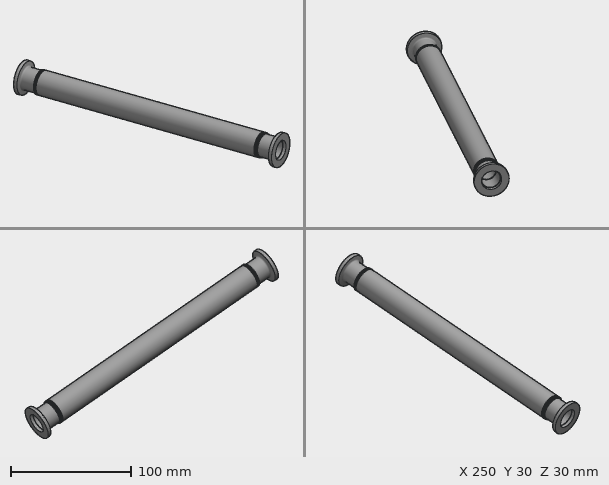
import cadquery as cq

length = 250.0
half_length = length / 2

flange_radius = 15.0
rim_width = 2.0
rim_chamfer_width = 1.2
rim_chamfer_drop = 0.2
cone_end = 4.0
cone_fillet = 1.2

neck_radius = 10.0
sleeve_radius = 11.0

band_start = 17.0
foot_bevel = 0.5
groove_depth = 0.12
groove_width = 0.8
groove_land = 0.5
groove_count = 2

socket_radius = 8.5
socket_depth = 3.0
neck_bore_radius = 8.0
sleeve_bore_radius = 7.5


def groove_points(start):
    """Outline corners of one fine groove beginning at the given X."""
    end = start + groove_width
    floor_radius = sleeve_radius - groove_depth
    return [
        (start, sleeve_radius),
        (start, floor_radius),
        (end, floor_radius),
        (end, sleeve_radius),
    ]


def half_body():
    """Solid left half, revolved about X, with the flange face at X = 0."""
    outline = [
        (0, 0),
        (0, flange_radius),
        (rim_width, flange_radius),
        (rim_width + rim_chamfer_width, flange_radius - rim_chamfer_drop),
        (cone_end, neck_radius),
        (band_start - foot_bevel, neck_radius),
        (band_start, neck_radius + foot_bevel),
        (band_start, sleeve_radius),
    ]
    first_groove = band_start + groove_land
    groove_pitch = groove_land + groove_width
    for index in range(groove_count):
        outline += groove_points(first_groove + index * groove_pitch)
    outline += [(half_length, sleeve_radius), (half_length, 0)]
    return cq.Workplane("XY").polyline(outline).close().revolve(360, (0, 0, 0), (1, 0, 0))


def fillet_cone_foot(body):
    """Round the inside corner where the flange cone meets the neck."""
    tolerance = 0.02
    reach = neck_radius + tolerance
    corner = cq.selectors.BoxSelector(
        (cone_end - tolerance, -reach, -reach),
        (cone_end + tolerance, reach, reach),
        boundingbox=True,
    )
    return body.edges(corner).fillet(cone_fillet)


def bore_step(radius, depth):
    """Round cutter running inward from the flange face."""
    return cq.Workplane("YZ").circle(radius).extrude(depth)


left_half = (
    fillet_cone_foot(half_body())
    .cut(bore_step(socket_radius, socket_depth))
    .cut(bore_step(neck_bore_radius, band_start))
    .cut(bore_step(sleeve_bore_radius, half_length))
    .translate((-half_length, 0, 0))
)
result = left_half.union(left_half.mirror("YZ")).clean()